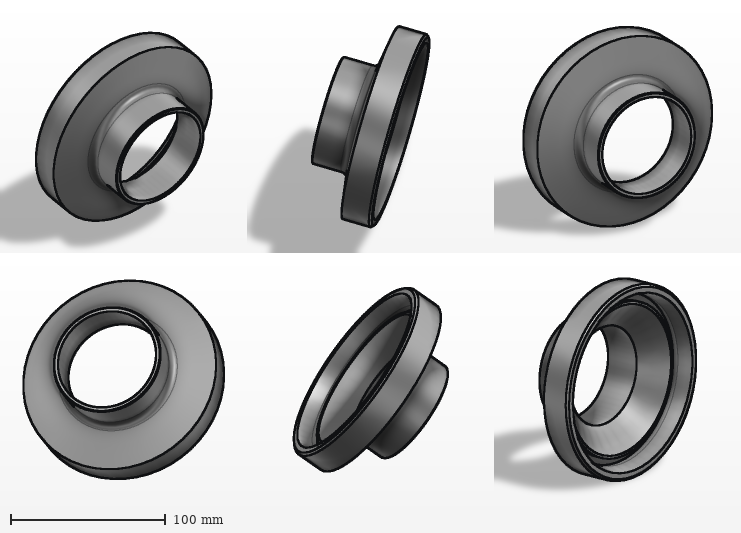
import cadquery as cq
import math

TOTAL_LENGTH = 49.0
RIM_LENGTH = 20.0

FLANGE_RADIUS = 130 / 2
NECK_RADIUS = 72.0 / 2
RIM_CHAMFER = 1.5
NECK_CHAMFER = 0.5
BACK_SLOPE = math.radians(10)
NECK_FILLET = 5.1

MOUTH_RADIUS = 59.5
RECESS_RADIUS = 113.8 / 2
RECESS_DEPTH = 10.0
GROOVE_DEPTH = 4.0
LIP_OUTER_RADIUS = 104 / 2
LIP_INNER_RADIUS = 50.0
BORE_RADIUS = 66.0 / 2
BORE_START = 24.7

corner_x = RIM_LENGTH + (FLANGE_RADIUS - NECK_RADIUS) * math.tan(BACK_SLOPE)
fillet_turn = math.pi / 2 - BACK_SLOPE
tangent_length = NECK_FILLET * math.tan(fillet_turn / 2)
fillet_end_x = corner_x + tangent_length
fillet_center_radius = NECK_RADIUS + NECK_FILLET


def fillet_point(angle):
    """Point on the fillet, with the angle measured from the neck tangent point."""
    return (
        fillet_end_x - NECK_FILLET * math.sin(angle),
        fillet_center_radius - NECK_FILLET * math.cos(angle),
    )


groove_floor_x = RECESS_DEPTH + GROOVE_DEPTH

section = (
    cq.Workplane("XY")
    .moveTo(0, MOUTH_RADIUS)
    .lineTo(0, FLANGE_RADIUS - RIM_CHAMFER)
    .lineTo(RIM_CHAMFER, FLANGE_RADIUS)
    .lineTo(RIM_LENGTH, FLANGE_RADIUS)
    .lineTo(*fillet_point(fillet_turn))
    .threePointArc(fillet_point(fillet_turn / 2), fillet_point(0))
    .lineTo(TOTAL_LENGTH - NECK_CHAMFER, NECK_RADIUS)
    .lineTo(TOTAL_LENGTH, NECK_RADIUS - NECK_CHAMFER)
    .lineTo(TOTAL_LENGTH, BORE_RADIUS)
    .lineTo(BORE_START, BORE_RADIUS)
    .lineTo(RECESS_DEPTH, LIP_INNER_RADIUS)
    .lineTo(RECESS_DEPTH, LIP_OUTER_RADIUS)
    .lineTo(groove_floor_x, LIP_OUTER_RADIUS)
    .lineTo(groove_floor_x, RECESS_RADIUS)
    .lineTo(RECESS_DEPTH, RECESS_RADIUS)
    .close()
)

result = section.revolve(360, (0, 0, 0), (1, 0, 0))